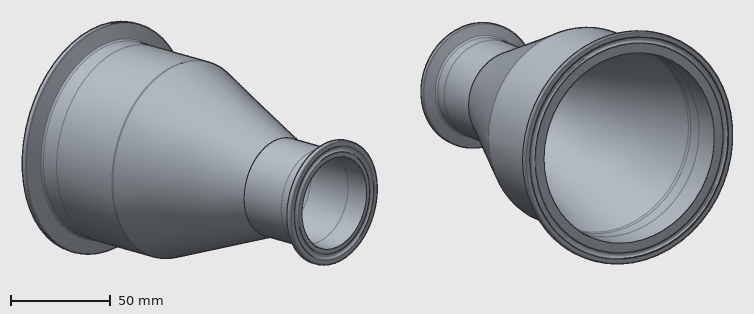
import cadquery as cq
import math

TOTAL_LENGTH = 158.75

LARGE_OUTER_DIAMETER = 101.6
LARGE_BORE_DIAMETER = 97.38
SMALL_OUTER_DIAMETER = 50.8
SMALL_BORE_DIAMETER = 47.5

LARGE_FERRULE_LENGTH = 15.875
SMALL_FERRULE_LENGTH = 12.7
OUTER_CONE_START = 53.975
BORE_CONE_START = 25.4
CONE_END = 120.65
OUTER_KNUCKLE_RADIUS = 1.5
BORE_KNUCKLE_RADIUS = 8.0

LARGE_FLANGE_DIAMETER = 118.92
SMALL_FLANGE_DIAMETER = 63.91
RIM_THICKNESS = 2.87
RIM_ROUND = 0.5
FLANGE_TAPER_ANGLE = 20.0
ROOT_FILLET = 1.15

GROOVE_INSET = 4.3
GROOVE_WIDTH = 3.0
GROOVE_DEPTH = 1.0
GROOVE_EDGE_ROUND = 0.4

MATCH_TOLERANCE = 1e-4


def revolve_about_x(profile):
    """Close the profile and turn it fully around the X axis."""
    return profile.close().revolve(360, (0, 0, 0), (1, 0, 0))


def round_circle(solid, x, radius, fillet_radius):
    """Fillet the circular edge around the X axis at the given position and radius."""
    edges = [
        edge
        for edge in solid.edges("%CIRCLE").vals()
        if math.isclose(edge.startPoint().x, x, abs_tol=MATCH_TOLERANCE)
        and math.isclose(edge.endPoint().x, x, abs_tol=MATCH_TOLERANCE)
        and math.isclose(edge.radius(), radius, abs_tol=MATCH_TOLERANCE)
    ]
    return solid.newObject(edges).fillet(fillet_radius)


def make_ferrule(flange_diameter, outer_diameter, bore_diameter, length):
    """Ferrule with its sealing face at X = 0 and its neck toward +X."""
    flange_radius = flange_diameter / 2
    neck_radius = outer_diameter / 2
    bore_radius = bore_diameter / 2
    taper_length = (flange_radius - neck_radius) * math.tan(math.radians(FLANGE_TAPER_ANGLE))
    taper_end = RIM_THICKNESS + taper_length
    ferrule = revolve_about_x(
        cq.Workplane("XY")
        .moveTo(0, bore_radius)
        .lineTo(0, flange_radius)
        .lineTo(RIM_THICKNESS, flange_radius)
        .lineTo(taper_end, neck_radius)
        .lineTo(length, neck_radius)
        .lineTo(length, bore_radius)
    )
    for rim_edge in (0, RIM_THICKNESS):
        ferrule = round_circle(ferrule, rim_edge, flange_radius, RIM_ROUND)
    ferrule = round_circle(ferrule, taper_end, neck_radius, ROOT_FILLET)
    return add_gasket_groove(ferrule, flange_radius - GROOVE_INSET)


def add_gasket_groove(ferrule, centre_radius):
    """Cut an arc-shaped ring groove into the face at X = 0 and round its two edges."""
    inner_radius = centre_radius - GROOVE_WIDTH / 2
    outer_radius = centre_radius + GROOVE_WIDTH / 2
    groove = revolve_about_x(
        cq.Workplane("XY")
        .moveTo(0, inner_radius)
        .threePointArc((GROOVE_DEPTH, centre_radius), (0, outer_radius))
    )
    ferrule = ferrule.cut(groove)
    for edge_radius in (inner_radius, outer_radius):
        ferrule = round_circle(ferrule, 0, edge_radius, GROOVE_EDGE_ROUND)
    return ferrule


def make_cone_blank(large_diameter, small_diameter, cone_start, knuckle_radius):
    """Solid cylinder, cone and cylinder between the two ferrules, with a rounded knuckle."""
    large_radius = large_diameter / 2
    small_radius = small_diameter / 2
    body_end = TOTAL_LENGTH - SMALL_FERRULE_LENGTH
    blank = revolve_about_x(
        cq.Workplane("XY")
        .moveTo(LARGE_FERRULE_LENGTH, 0)
        .lineTo(LARGE_FERRULE_LENGTH, large_radius)
        .lineTo(cone_start, large_radius)
        .lineTo(CONE_END, small_radius)
        .lineTo(body_end, small_radius)
        .lineTo(body_end, 0)
    )
    return round_circle(blank, cone_start, large_radius, knuckle_radius)


def make_reducer_body():
    """Tube and cone between the ferrules; the bore cone starts nearer the large end than the outer one."""
    outside = make_cone_blank(
        LARGE_OUTER_DIAMETER, SMALL_OUTER_DIAMETER, OUTER_CONE_START, OUTER_KNUCKLE_RADIUS
    )
    inside = make_cone_blank(
        LARGE_BORE_DIAMETER, SMALL_BORE_DIAMETER, BORE_CONE_START, BORE_KNUCKLE_RADIUS
    )
    return outside.cut(inside)


large_ferrule = make_ferrule(
    LARGE_FLANGE_DIAMETER, LARGE_OUTER_DIAMETER, LARGE_BORE_DIAMETER, LARGE_FERRULE_LENGTH
)
small_ferrule = (
    make_ferrule(SMALL_FLANGE_DIAMETER, SMALL_OUTER_DIAMETER, SMALL_BORE_DIAMETER, SMALL_FERRULE_LENGTH)
    .rotate((0, 0, 0), (0, 0, 1), 180)
    .translate((TOTAL_LENGTH, 0, 0))
)

result = make_reducer_body().union(large_ferrule, clean=False).union(small_ferrule, clean=False)